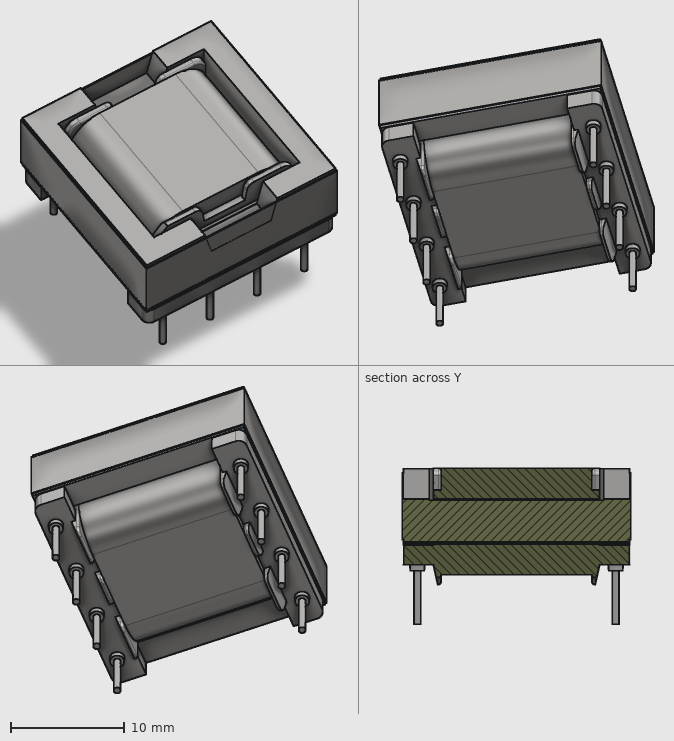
import cadquery as cq


TAPE_SIDE = 20.2
TAPE_THICKNESS = 0.1
TAPE_INSET = 0.35
CORE_SIDE = TAPE_SIDE - 2 * TAPE_THICKNESS
CORE_BOTTOM = 1.88
CORE_TOP = 8.5
CORE_HEIGHT = CORE_TOP - CORE_BOTTOM
WINDOW_HALF = 7.7

TOP_NOTCH_DEPTH = 2.67
TOP_NOTCH_HALF_MOUTH = 3.82
TOP_NOTCH_HALF_FLOOR = 3.15
BOTTOM_NOTCH_DEPTH = 0.15
BOTTOM_NOTCH_HALF_MOUTH = 3.98
BOTTOM_NOTCH_HALF_FLOOR = BOTTOM_NOTCH_HALF_MOUTH - BOTTOM_NOTCH_DEPTH

LEG_BOTTOM = CORE_BOTTOM + BOTTOM_NOTCH_DEPTH
LEG_STEP = 0.1
LEG_TOP = CORE_TOP - TOP_NOTCH_DEPTH - LEG_STEP
LEG_HALF_WIDTH = 4.42
LEG_CHAMFER = 0.6

BOBBIN_TOP = 8.56
WINDING_BOTTOM = -0.87
WINDING_HALF_LENGTH = 6.67
WINDING_HALF_WIDTH = 7.35
WINDING_RADIUS = 3.35

FLANGE_OUTER = 7.35
FLANGE_INNER = WINDING_HALF_LENGTH
FLANGE_EDGE_RADIUS = 0.25
FLANGE_SADDLE = 6.63

UPPER_TAB_INNER_FOOT = 2.15
UPPER_TAB_INNER_TOP = 2.46
UPPER_TAB_INNER_RADIUS = 0.77
UPPER_TAB_OUTER_RADIUS = 1.31

SIDE_TAB_INNER = 3.37
SIDE_TAB_BOTTOM = -1.74
MIDDLE_TAB_HALF_WIDTH = 1.62
MIDDLE_TAB_BOTTOM = -1.13
LOWER_TAB_RADIUS = 0.75
LOWER_TAB_TAPER = 0.38

RAIL_INNER = 6.99
RAIL_OUTER = CORE_SIDE / 2
RAIL_GAP = 0.1
RAIL_TOP = CORE_BOTTOM - RAIL_GAP
RAIL_CORNER_RADIUS = 0.77

BORE_CLEARANCE = 0.1
BORE_HALF_WIDTH = LEG_HALF_WIDTH + BORE_CLEARANCE
BORE_TOP = LEG_TOP + BORE_CLEARANCE
BORE_LIP = 0.08
BORE_BOTTOM = RAIL_TOP + BORE_LIP

PIN_X = 8.77
PIN_PITCH = 4.99
PINS_PER_RAIL = 4
PIN_DIAMETER = 0.63
PIN_LENGTH = 5.25
COLLAR_DIAMETER = 1.33
COLLAR_TIP_DIAMETER = 1.25
COLLAR_HEIGHT = 0.53


def box_between(x_range, y_range, z_range):
    """Box spanning the given (low, high) ranges."""
    low, high = zip(x_range, y_range, z_range)
    size = [b - a for a, b in zip(low, high)]
    return cq.Workplane("XY").box(*size, centered=False).translate(low)


def extrude_along_x(points, x_low, x_high):
    """Prism along X whose section is the (y, z) outline."""
    return cq.Workplane("YZ").workplane(offset=x_low).polyline(points).close().extrude(x_high - x_low)


def limb_notch(half_mouth, half_floor, mouth_z, floor_z):
    """Trapezoidal cutter along X through both limbs."""
    outline = [(-half_mouth, mouth_z), (half_mouth, mouth_z), (half_floor, floor_z), (-half_floor, floor_z)]
    return extrude_along_x(outline, -CORE_SIDE / 2, CORE_SIDE / 2)


def make_core():
    """Square frame with its centre leg, and the tape wrapped around it."""
    frame = cq.Workplane("XY").workplane(offset=CORE_BOTTOM).rect(CORE_SIDE, CORE_SIDE)
    frame = frame.rect(2 * WINDOW_HALF, 2 * WINDOW_HALF).extrude(CORE_HEIGHT)
    frame = frame.cut(limb_notch(TOP_NOTCH_HALF_MOUTH, TOP_NOTCH_HALF_FLOOR,
                                 CORE_TOP, CORE_TOP - TOP_NOTCH_DEPTH))
    frame = frame.cut(limb_notch(BOTTOM_NOTCH_HALF_MOUTH, BOTTOM_NOTCH_HALF_FLOOR,
                                 CORE_BOTTOM, CORE_BOTTOM + BOTTOM_NOTCH_DEPTH))

    leg = box_between((-WINDOW_HALF, WINDOW_HALF), (-LEG_HALF_WIDTH, LEG_HALF_WIDTH), (LEG_BOTTOM, LEG_TOP))
    leg = leg.faces(">Z").edges("|X").chamfer(LEG_CHAMFER)

    tape = cq.Workplane("XY").workplane(offset=CORE_BOTTOM + TAPE_INSET).rect(TAPE_SIDE, TAPE_SIDE)
    tape = tape.rect(CORE_SIDE, CORE_SIDE).extrude(CORE_HEIGHT - 2 * TAPE_INSET)
    return frame.union(leg).union(tape)


def upper_tab():
    """Upper flange tab on the +Y side, spanning the flange thickness."""
    outline = [
        (UPPER_TAB_INNER_FOOT, FLANGE_SADDLE),
        (UPPER_TAB_INNER_TOP, BOBBIN_TOP),
        (WINDING_HALF_WIDTH, BOBBIN_TOP),
        (WINDING_HALF_WIDTH, FLANGE_SADDLE),
    ]
    tab = extrude_along_x(outline, FLANGE_INNER, FLANGE_OUTER)
    tab = tab.edges("|X and >Y and >Z").fillet(UPPER_TAB_OUTER_RADIUS)
    inner_corner = cq.selectors.NearestToPointSelector((FLANGE_OUTER, UPPER_TAB_INNER_TOP, BOBBIN_TOP))
    return tab.edges("|X").edges(inner_corner).fillet(UPPER_TAB_INNER_RADIUS)


def lower_tab(y_range, bottom):
    """Lower flange tab with rounded bottom corners."""
    tab = box_between((FLANGE_INNER, FLANGE_OUTER), y_range, (bottom, 0))
    return tab.edges("|X and <Z").fillet(LOWER_TAB_RADIUS)


def tab_taper():
    """Wedge that thins the lower tabs from their outer face."""
    tip_x = FLANGE_OUTER - LOWER_TAB_TAPER
    outline = [(FLANGE_OUTER, 0), (FLANGE_OUTER, SIDE_TAB_BOTTOM), (tip_x, SIDE_TAB_BOTTOM)]
    return cq.Workplane("XZ").polyline(outline).close().extrude(WINDING_HALF_WIDTH, both=True)


def make_flange():
    """Flange at the +X end of the winding."""
    flange = box_between((FLANGE_INNER, FLANGE_OUTER),
                         (-WINDING_HALF_WIDTH, WINDING_HALF_WIDTH), (0, FLANGE_SADDLE))
    upper = upper_tab()
    side = lower_tab((SIDE_TAB_INNER, WINDING_HALF_WIDTH), SIDE_TAB_BOTTOM)
    for tab in (upper, side):
        flange = flange.union(tab).union(tab.mirror("XZ"))
    flange = flange.union(lower_tab((-MIDDLE_TAB_HALF_WIDTH, MIDDLE_TAB_HALF_WIDTH), MIDDLE_TAB_BOTTOM))
    saddle_edge = cq.selectors.NearestToPointSelector((FLANGE_INNER, 0, FLANGE_SADDLE))
    inner_outline = flange.clean().faces("<X").edges(cq.selectors.InverseSelector(saddle_edge))
    flange = inner_outline.fillet(FLANGE_EDGE_RADIUS)
    return flange.cut(tab_taper())


def cut_corner():
    """Prism that cuts the upper -Y corner of the +X flange flat across its rounding."""
    outline = [
        (-WINDING_HALF_WIDTH, BOBBIN_TOP),
        (UPPER_TAB_OUTER_RADIUS - WINDING_HALF_WIDTH, BOBBIN_TOP),
        (-WINDING_HALF_WIDTH, BOBBIN_TOP - UPPER_TAB_OUTER_RADIUS),
    ]
    return extrude_along_x(outline, FLANGE_INNER, FLANGE_OUTER)


def make_rail():
    """Pin rail under the +X limb."""
    rail = box_between((RAIL_INNER, RAIL_OUTER), (-RAIL_OUTER, RAIL_OUTER), (0, RAIL_TOP))
    return rail.edges("|Z and >X").fillet(RAIL_CORNER_RADIUS)


def make_pin():
    """Collar and pin hanging from Z = 0."""
    collar = cq.Workplane("XY").circle(COLLAR_DIAMETER / 2).workplane(offset=-COLLAR_HEIGHT)
    collar = collar.circle(COLLAR_TIP_DIAMETER / 2).loft()
    return collar.union(cq.Workplane("XY").circle(PIN_DIAMETER / 2).extrude(-PIN_LENGTH))


def make_bobbin():
    """Winding with a flange, rail and row of pins at each end."""
    winding = box_between((-WINDING_HALF_LENGTH, WINDING_HALF_LENGTH),
                          (-WINDING_HALF_WIDTH, WINDING_HALF_WIDTH), (WINDING_BOTTOM, BOBBIN_TOP))
    bobbin = winding.edges("|X").fillet(WINDING_RADIUS)

    end = make_flange().union(make_rail())
    pin = make_pin()
    for i in range(PINS_PER_RAIL):
        y = (i - (PINS_PER_RAIL - 1) / 2) * PIN_PITCH
        end = end.union(pin.translate((PIN_X, y, 0)))
    bobbin = bobbin.union(end.cut(cut_corner())).union(end.mirror("YZ"))

    bore = box_between((-FLANGE_OUTER, FLANGE_OUTER), (-BORE_HALF_WIDTH, BORE_HALF_WIDTH), (BORE_BOTTOM, BORE_TOP))
    return bobbin.cut(bore)


core = make_core()
bobbin = make_bobbin()
result = cq.Compound.makeCompound([core.val(), bobbin.val()])